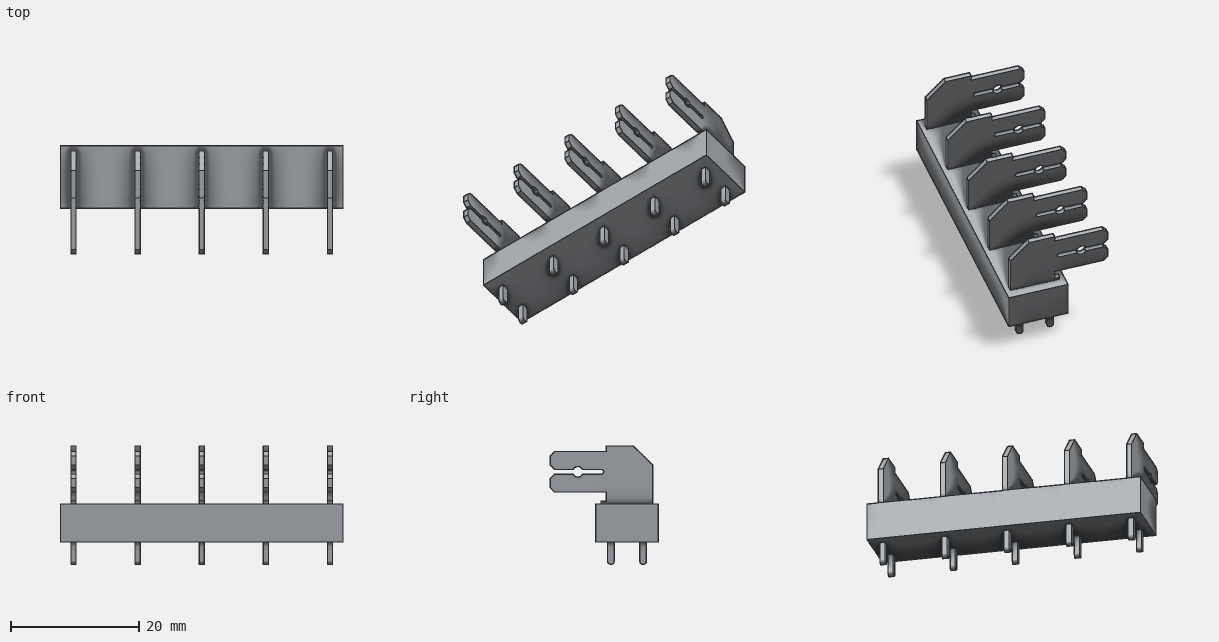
import cadquery as cq

HOUSING_LENGTH = 44.0
HOUSING_DEPTH = 9.75
HOUSING_HEIGHT = 6.0
HOUSING_BACK = HOUSING_DEPTH / 2

CONTACT_COUNT = 5
CONTACT_PITCH = 10.0
CONTACT_XS = [(i - (CONTACT_COUNT - 1) / 2) * CONTACT_PITCH for i in range(CONTACT_COUNT)]
CONTACT_THICKNESS = 0.85

PLATE_HEIGHT = 9.0
PLATE_TOP = HOUSING_HEIGHT + PLATE_HEIGHT
PLATE_BACK = HOUSING_BACK - 0.85
PLATE_FRONT = PLATE_BACK - 7.3
PLATE_CORNER_DEPTH = 3.1
PLATE_CORNER_HEIGHT = 3.0

FOOT_FRONT = PLATE_FRONT - 0.8
FOOT_TOP = HOUSING_HEIGHT + 0.4

BLADE_TOP = PLATE_TOP - 0.9
BLADE_HEIGHT = 6.35
BLADE_BOTTOM = BLADE_TOP - BLADE_HEIGHT
BLADE_MIDDLE = BLADE_TOP - BLADE_HEIGHT / 2
BLADE_FRONT = HOUSING_BACK - 16.85
PRONG_CHAMFER = 0.7

SLOT_WIDTH = 0.7
SLOT_BACK = PLATE_FRONT - 0.4
SLOT_HOLE_DIAMETER = 1.65
SLOT_HOLE_Y = BLADE_FRONT + 4.3

PIN_WIDTH = 1.05
PIN_SPACING = 5.0
PIN_BACK_Y = HOUSING_BACK - 2.38
PIN_YS = [PIN_BACK_Y, PIN_BACK_Y - PIN_SPACING]
PIN_BOTTOM = -3.48
PIN_TIP_HEIGHT = 0.45


def contact_sketch_plane(x):
    """YZ plane on the -X face of the contact centred at x; extruding goes toward +X."""
    return cq.Workplane("YZ", origin=(x - CONTACT_THICKNESS / 2, 0, 0))


def make_plate(x):
    """Upright plate with its cut back corner, the foot and the unsplit blade."""
    outline = [
        (PLATE_BACK, HOUSING_HEIGHT),
        (PLATE_BACK, PLATE_TOP - PLATE_CORNER_HEIGHT),
        (PLATE_BACK - PLATE_CORNER_DEPTH, PLATE_TOP),
        (PLATE_FRONT, PLATE_TOP),
        (PLATE_FRONT, BLADE_TOP),
        (BLADE_FRONT, BLADE_TOP),
        (BLADE_FRONT, BLADE_BOTTOM),
        (PLATE_FRONT, BLADE_BOTTOM),
        (PLATE_FRONT, FOOT_TOP),
        (FOOT_FRONT, FOOT_TOP),
        (FOOT_FRONT, HOUSING_HEIGHT),
    ]
    return contact_sketch_plane(x).polyline(outline).close().extrude(CONTACT_THICKNESS)


def make_slot(x):
    """Cutter for the round-ended slot, open at the blade front, and its round hole."""
    radius = SLOT_WIDTH / 2
    slot = (
        contact_sketch_plane(x)
        .moveTo(BLADE_FRONT, BLADE_MIDDLE - radius)
        .lineTo(SLOT_BACK - radius, BLADE_MIDDLE - radius)
        .threePointArc((SLOT_BACK, BLADE_MIDDLE), (SLOT_BACK - radius, BLADE_MIDDLE + radius))
        .lineTo(BLADE_FRONT, BLADE_MIDDLE + radius)
        .close()
        .extrude(CONTACT_THICKNESS)
    )
    hole = (
        contact_sketch_plane(x)
        .center(SLOT_HOLE_Y, BLADE_MIDDLE)
        .circle(SLOT_HOLE_DIAMETER / 2)
        .extrude(CONTACT_THICKNESS)
    )
    return slot.union(hole)


def make_pin(x, y):
    """Pin from the plate's underside through the housing to a rounded tip."""
    half_width = PIN_WIDTH / 2
    tip_start = PIN_BOTTOM + PIN_TIP_HEIGHT
    return (
        contact_sketch_plane(x)
        .moveTo(y - half_width, HOUSING_HEIGHT)
        .lineTo(y - half_width, tip_start)
        .threePointArc((y, PIN_BOTTOM), (y + half_width, tip_start))
        .lineTo(y + half_width, HOUSING_HEIGHT)
        .close()
        .extrude(CONTACT_THICKNESS)
    )


def make_contact(x):
    contact = make_plate(x).cut(make_slot(x))
    contact = contact.faces("<Y").edges("|X").chamfer(PRONG_CHAMFER)
    for y in PIN_YS:
        contact = contact.union(make_pin(x, y))
    return contact


def make_housing():
    """Bar with one rectangular through hole for each pin."""
    housing = cq.Workplane("XY").box(
        HOUSING_LENGTH, HOUSING_DEPTH, HOUSING_HEIGHT, centered=(True, True, False)
    )
    pin_places = [(x, y) for x in CONTACT_XS for y in PIN_YS]
    pin_holes = (
        cq.Workplane("XY")
        .pushPoints(pin_places)
        .rect(CONTACT_THICKNESS, PIN_WIDTH)
        .extrude(HOUSING_HEIGHT)
    )
    return housing.cut(pin_holes)


housing = make_housing()
contacts = [make_contact(x) for x in CONTACT_XS]

result = cq.Compound.makeCompound([housing.val(), *[contact.val() for contact in contacts]])